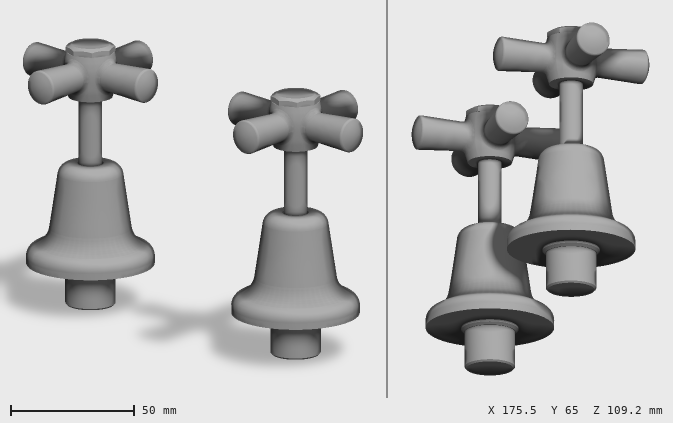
import cadquery as cq

FULL_TURN = 360

OVERALL_LENGTH = 175.5
ARM_REACH = 32.5
TAP_SPACING = OVERALL_LENGTH - 2 * ARM_REACH

COLLAR_BOTTOM_Z = 15.3
BELL_BOTTOM_Z = 17.2
BELL_TOP_Z = 59.1
HUB_BOTTOM_Z = 87.0
HUB_TOP_Z = 106.0
CAP_TOP_Z = 109.2

PIPE_RADIUS = 10.2
PIPE_CHAMFER = 0.7
COLLAR_RADIUS = 11.5
COLLAR_CHAMFER = 1.0

SPINDLE_RADIUS = 4.7
BELL_HOLE_RADIUS = 5.3

FLANGE_RADIUS = 26.0
FLANGE_TOP_Z = 19.8
SKIRT_RADIUS = 22.8
SKIRT_Z = 24.7
WAIST_RADIUS = 16.7
WAIST_Z = 32.1
CROWN_RADIUS = 12.6
CROWN_ROUND = 5.1

HUB_TOP_RADIUS = 9.8
HUB_BULGE_RADIUS = 10.9
HUB_BULGE_Z = 98.3
HUB_BOTTOM_RADIUS = 9.0
ARM_COUNT = 4
ARM_AXIS_Z = 97.0
ARM_ROOT_RADIUS = 5.3
ARM_END_RADIUS = 7.0
ARM_DOME_HEIGHT = 2.1
ARM_END_ROUND = 1.0
ARM_ROOT_ROUND = 2.1

CAP_SIDES = 8
CAP_CORNER_RADIUS = 10.2
CAP_FLAT_RADIUS = 7.9
CAP_BEVEL_DROP = 1.2


def make_valve_body():
    """Round pipe end with a wider collar under the bell."""
    pipe = cq.Workplane("XY").circle(PIPE_RADIUS).extrude(BELL_BOTTOM_Z)
    pipe = pipe.faces("<Z").chamfer(PIPE_CHAMFER)
    collar = (
        cq.Workplane("XY", origin=(0, 0, COLLAR_BOTTOM_Z))
        .circle(COLLAR_RADIUS)
        .extrude(BELL_BOTTOM_Z - COLLAR_BOTTOM_Z)
        .faces("<Z")
        .chamfer(COLLAR_CHAMFER)
    )
    return pipe.union(collar)


def make_spindle():
    """Plain rod from the valve body up to the handle."""
    return (
        cq.Workplane("XY", origin=(0, 0, BELL_BOTTOM_Z))
        .circle(SPINDLE_RADIUS)
        .extrude(HUB_BOTTOM_Z - BELL_BOTTOM_Z)
    )


def make_bell():
    """Bell-shaped cover, revolved around the tap axis, with a hole for the spindle."""
    bell = (
        cq.Workplane("XZ")
        .moveTo(0, BELL_TOP_Z)
        .lineTo(CROWN_RADIUS, BELL_TOP_Z)
        .lineTo(WAIST_RADIUS, WAIST_Z)
        .tangentArcPoint((SKIRT_RADIUS, SKIRT_Z), relative=False)
        .tangentArcPoint((FLANGE_RADIUS, FLANGE_TOP_Z), relative=False)
        .lineTo(FLANGE_RADIUS, BELL_BOTTOM_Z)
        .lineTo(0, BELL_BOTTOM_Z)
        .close()
        .revolve(FULL_TURN, (0, 0), (0, 1))
    )
    bell = bell.faces(">Z").edges().fillet(CROWN_ROUND)
    hole = (
        cq.Workplane("XY", origin=(0, 0, BELL_BOTTOM_Z))
        .circle(BELL_HOLE_RADIUS)
        .extrude(BELL_TOP_Z - BELL_BOTTOM_Z)
    )
    return bell.cut(hole)


def make_arm():
    """One flared arm along +X with a shallow domed end and a rounded rim."""
    rim_x = ARM_REACH - ARM_DOME_HEIGHT
    dome_radius = (ARM_END_RADIUS**2 + ARM_DOME_HEIGHT**2) / (2 * ARM_DOME_HEIGHT)
    arm = (
        cq.Workplane("XY")
        .lineTo(0, ARM_ROOT_RADIUS)
        .lineTo(rim_x, ARM_END_RADIUS)
        .radiusArc((ARM_REACH, 0), dome_radius)
        .close()
        .revolve(FULL_TURN, (0, 0), (1, 0))
    )
    rim = cq.selectors.BoxSelector(
        (rim_x - ARM_END_ROUND, -ARM_END_RADIUS, -ARM_END_RADIUS),
        (rim_x + ARM_END_ROUND, ARM_END_RADIUS, ARM_END_RADIUS),
    )
    arm = arm.edges(rim).edges("%CIRCLE").fillet(ARM_END_ROUND)
    return arm.translate((0, 0, ARM_AXIS_Z))


def make_handle():
    """Bulging hub with the arms blended into it."""
    handle = (
        cq.Workplane("XZ")
        .moveTo(0, HUB_BOTTOM_Z)
        .lineTo(HUB_BOTTOM_RADIUS, HUB_BOTTOM_Z)
        .threePointArc((HUB_BULGE_RADIUS, HUB_BULGE_Z), (HUB_TOP_RADIUS, HUB_TOP_Z))
        .lineTo(0, HUB_TOP_Z)
        .close()
        .revolve(FULL_TURN, (0, 0), (0, 1))
    )
    handle = handle.rotate((0, 0, 0), (0, 0, 1), FULL_TURN / ARM_COUNT / 2)
    for index in range(ARM_COUNT):
        arm = make_arm().rotate((0, 0, 0), (0, 0, 1), index * FULL_TURN / ARM_COUNT)
        handle = handle.union(arm)
    return handle.edges("%BSPLINE").fillet(ARM_ROOT_ROUND)


def make_cap():
    """Octagonal cap with its corners along X and Y, bevelled by a cone."""
    height = CAP_TOP_Z - HUB_TOP_Z
    prism = (
        cq.Workplane("XY", origin=(0, 0, HUB_TOP_Z))
        .polygon(CAP_SIDES, 2 * CAP_CORNER_RADIUS)
        .extrude(height)
    )
    bevelled_disc = (
        cq.Workplane("XZ")
        .polyline(
            [
                (0, HUB_TOP_Z),
                (CAP_CORNER_RADIUS, HUB_TOP_Z),
                (CAP_CORNER_RADIUS, CAP_TOP_Z - CAP_BEVEL_DROP),
                (CAP_FLAT_RADIUS, CAP_TOP_Z),
                (0, CAP_TOP_Z),
            ]
        )
        .close()
        .revolve(FULL_TURN, (0, 0), (0, 1))
    )
    return prism.intersect(bevelled_disc)


solids = []
for tap_x in (0, TAP_SPACING):
    for make_body in (make_valve_body, make_spindle, make_bell, make_handle, make_cap):
        body = make_body().translate((tap_x, 0, 0))
        solids.append(body.val())

result = cq.Compound.makeCompound(solids)